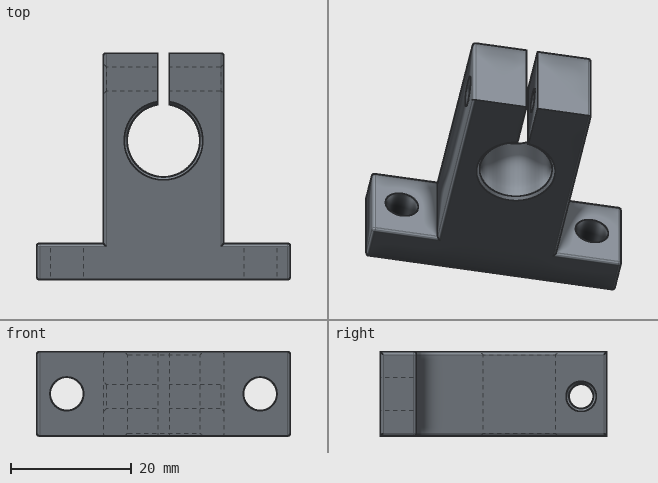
import cadquery as cq

base_width = 42.0
base_depth = 6.0
column_width = 20.0
total_depth = 37.5
height = 14.0
edge_radius = 0.5

bore_diameter = 12.0
bore_y = 23.0
bore_chamfer = 0.5
slot_width = 1.85

clamp_diameter = 4.0
clamp_chamfer = 0.5
clamp_y = total_depth - 4.25
clamp_z = -0.4

mount_diameter = 5.5
mount_spacing = 32.0

tolerance = 0.005


def make_body():
    """T-shaped block with rounded side faces and rounded base shoulders."""
    base = cq.Workplane("XY").box(base_width, base_depth, height, centered=(True, False, True))
    column = cq.Workplane("XY").box(column_width, total_depth, height, centered=(True, False, True))
    body = base.union(column)

    def is_rounded(edge):
        center = edge.Center()
        on_base_end = abs(abs(center.x) - base_width / 2) < tolerance
        on_column_side = abs(abs(center.x) - column_width / 2) < tolerance and center.y > base_depth + tolerance
        on_shoulder = abs(center.y - base_depth) < tolerance and abs(abs(center.z) - height / 2) < tolerance
        return on_base_end or on_column_side or on_shoulder

    rounded_edges = [edge for edge in body.edges().vals() if is_rounded(edge)]
    return body.newObject(rounded_edges).fillet(edge_radius)


def chamfered_cutter(plane, diameter, length, chamfer):
    """Round cutter centred on the plane, flaring at 45 degrees to both ends."""
    radius = diameter / 2
    cutter = cq.Workplane(plane).circle(radius).extrude(length / 2, both=True)
    for direction in (1, -1):
        flare = (
            cq.Workplane(plane)
            .workplane(offset=direction * (length / 2 - chamfer))
            .circle(radius)
            .workplane(offset=direction * chamfer)
            .circle(radius + chamfer)
            .loft()
        )
        cutter = cutter.union(flare)
    return cutter


bore = chamfered_cutter("XY", bore_diameter, height, bore_chamfer).translate((0, bore_y, 0))
clamp_hole = chamfered_cutter("YZ", clamp_diameter, column_width, clamp_chamfer)
clamp_hole = clamp_hole.translate((0, clamp_y, clamp_z))

slot = (
    cq.Workplane("XY")
    .box(slot_width, total_depth - bore_y, height, centered=(True, False, True))
    .translate((0, bore_y, 0))
)

mount_holes = (
    cq.Workplane("XZ")
    .pushPoints([(-mount_spacing / 2, 0), (mount_spacing / 2, 0)])
    .circle(mount_diameter / 2)
    .extrude(-base_depth)
)

result = make_body().cut(bore).cut(slot).cut(clamp_hole).cut(mount_holes)